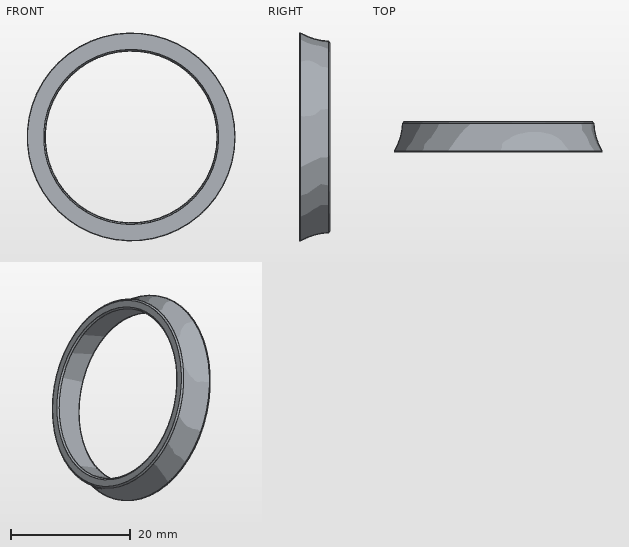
import cadquery as cq

outer_radius = 17.32
width = 5.1
bore_radius = 14.3
bore_chamfer = 0.28
rim_width = 0.2
neck_radius = 15.97
neck_chamfer = 0.28
flare_radius = 10.0

front_y = -width / 2
back_y = width / 2

section = (
    cq.Workplane("XY")
    .moveTo(bore_radius + bore_chamfer, front_y)
    .lineTo(outer_radius, front_y)
    .lineTo(outer_radius, front_y + rim_width)
    .radiusArc((neck_radius, back_y - neck_chamfer), flare_radius)
    .lineTo(neck_radius - neck_chamfer, back_y)
    .lineTo(bore_radius + bore_chamfer, back_y)
    .lineTo(bore_radius, back_y - bore_chamfer)
    .lineTo(bore_radius, front_y + bore_chamfer)
    .close()
)

result = section.revolve(360, (0, 0, 0), (0, 1, 0))